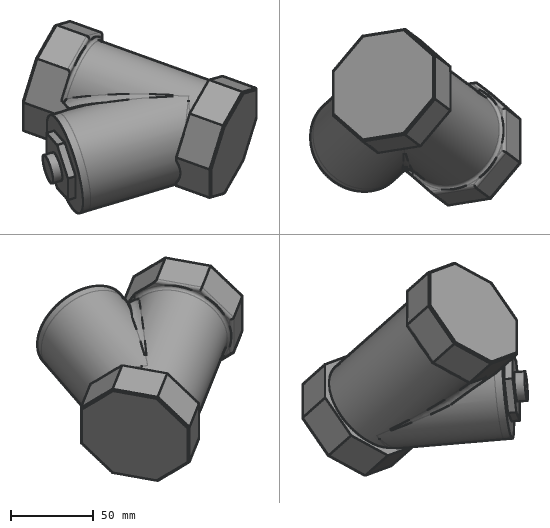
import cadquery as cq
import math

length = 125.0
nut_width = 68.0
nut_length = 23.0
nut_chamfer = 0.9
pipe_radius = 31.0
blend_radius = 2.0
crotch_radius = 6.0
crotch_sections = 7
acute_start_angle = 34.0
obtuse_start_angle = 56.0
crotch_end_angle = 84.0

web_length = 6.2
web_inner_y = 27.5
web_tip_y = 30.0

branch_x = 32.5
branch_angle = 45.0
branch_length = 80.0
cap_thickness = 5.0
hex_width = 37.0
hex_height = 5.0
stud_diameter = 18.0
stud_height = 6.0

nut_face_x = length / 2 - nut_length
half_width = nut_width / 2


def make_octagon_bar(bar_length):
    """Octagonal bar from X = 0 to X = bar_length, with flat sides up and down."""
    corner_diameter = nut_width / math.cos(math.pi / 8)
    return (
        cq.Workplane("YZ")
        .transformed(rotate=(0, 0, 22.5))
        .polygon(8, corner_diameter)
        .extrude(bar_length)
    )


def make_nut():
    """Octagonal end starting at X = 0, with its outer rim at X = -nut_length."""
    nut = make_octagon_bar(-nut_length)
    return nut.faces("<X").chamfer(nut_chamfer)


def make_left_nut():
    """Left nut with the inner rim rounded, except on its three -Y sides."""
    rim_margin = 0.1
    rounded_zone = cq.selectors.BoxSelector(
        (-rim_margin, -rim_margin, -nut_width),
        (rim_margin, nut_width, nut_width),
    )
    nut = make_nut().edges(rounded_zone).fillet(blend_radius)
    return nut.translate((-nut_face_x, 0, 0))


def make_right_nut():
    nut = make_nut().rotate((0, 0, 0), (0, 0, 1), 180)
    return nut.translate((nut_face_x, 0, 0))


def make_neck():
    """Concave ring that leads from the pipe surface up to the left nut."""
    outer_radius = pipe_radius + blend_radius
    core_radius = pipe_radius / 2
    sag = blend_radius * (1 - math.sqrt(0.5))
    profile = (
        cq.Workplane("XY")
        .moveTo(-nut_face_x - blend_radius, core_radius)
        .lineTo(-nut_face_x - blend_radius, outer_radius)
        .lineTo(-nut_face_x, outer_radius)
        .threePointArc(
            (-nut_face_x + sag, pipe_radius + sag),
            (-nut_face_x + blend_radius, pipe_radius),
        )
        .lineTo(-nut_face_x + blend_radius, core_radius)
        .close()
    )
    return profile.revolve(360, (0, 0, 0), (1, 0, 0))


branch_direction = cq.Vector(
    -math.cos(math.radians(branch_angle)), -math.sin(math.radians(branch_angle)), 0
)


def branch_plane(distance):
    """Plane across the branch axis, at a distance from the crossing."""
    origin = cq.Vector(branch_x, 0, 0) + branch_direction * distance
    return cq.Plane(origin=origin, xDir=(0, 0, 1), normal=branch_direction)


def make_pipes():
    """Run pipe and slanted branch of equal radius."""
    pipe = cq.Workplane("YZ").circle(pipe_radius).extrude(nut_face_x + nut_length / 2, both=True)
    branch = cq.Workplane(branch_plane(0)).circle(pipe_radius).extrude(branch_length - cap_thickness)
    return pipe.union(branch)


def crotch_section(angle, side):
    """Fillet cross-section for a ball touching both pipes.

    The angle is measured around the pipe from -Y toward +Z. The side is -1 for the
    acute crotch toward -X and +1 for the obtuse crotch toward +X.
    """
    reach = (pipe_radius + crotch_radius) * math.cos(angle)
    height = (pipe_radius + crotch_radius) * math.sin(angle)
    crotch_angle = math.radians(branch_angle if side < 0 else 180 - branch_angle)
    center = cq.Vector(branch_x + side * reach / math.tan(crotch_angle / 2), -reach, height)

    crossing = cq.Vector(branch_x, 0, 0)
    pipe_foot = cq.Vector(center.x, 0, 0)
    branch_foot = crossing + branch_direction * (center - crossing).dot(branch_direction)
    to_pipe = (pipe_foot - center).normalized()
    to_branch = (branch_foot - center).normalized()
    to_corner = (to_pipe + to_branch).normalized()

    pipe_contact = center + to_pipe * crotch_radius
    branch_contact = center + to_branch * crotch_radius
    middle = center + to_corner * crotch_radius
    corner = center + to_corner * (crotch_radius + pipe_radius / 2)
    return cq.Wire.assembleEdges([
        cq.Edge.makeThreePointArc(pipe_contact, middle, branch_contact),
        cq.Edge.makeLine(branch_contact, corner),
        cq.Edge.makeLine(corner, pipe_contact),
    ])


def make_crotch_fillet(side, start_angle):
    """Upper and lower fillets, trimmed to stay within the outline of the nuts."""
    step = (crotch_end_angle - start_angle) / (crotch_sections - 1)
    sections = [
        crotch_section(math.radians(start_angle + step * index), side)
        for index in range(crotch_sections)
    ]
    upper = cq.Workplane("XY").newObject([cq.Solid.makeLoft(sections)])
    nut_outline = make_octagon_bar(length).translate((-length / 2, 0, 0))
    return upper.union(upper.mirror("XY")).intersect(nut_outline)


def make_corner_web():
    """Small webs that carry the diagonal sides of the left nut onto the branch."""
    web = (
        cq.Workplane("XY")
        .moveTo(-nut_face_x, -web_inner_y)
        .lineTo(-nut_face_x + web_length, -web_tip_y)
        .lineTo(-nut_face_x, -half_width)
        .close()
        .extrude(half_width, both=True)
    )
    return web.intersect(make_octagon_bar(length).translate((-length / 2, 0, 0)))


def make_cap():
    """Round cap, hexagon and stud stacked on the end of the branch."""
    disc = (
        cq.Workplane(branch_plane(branch_length - cap_thickness))
        .circle(pipe_radius)
        .extrude(cap_thickness)
    )
    hexagon = (
        cq.Workplane(branch_plane(branch_length))
        .polygon(6, hex_width / math.cos(math.pi / 6))
        .extrude(hex_height)
    )
    stud = (
        cq.Workplane(branch_plane(branch_length + hex_height))
        .circle(stud_diameter / 2)
        .extrude(stud_height)
    )
    return disc.union(hexagon).union(stud)


result = (
    make_pipes()
    .union(make_crotch_fillet(-1, acute_start_angle))
    .union(make_crotch_fillet(1, obtuse_start_angle))
    .union(make_corner_web())
    .union(make_neck())
    .union(make_left_nut())
    .union(make_right_nut())
    .union(make_cap(), clean=False)
)